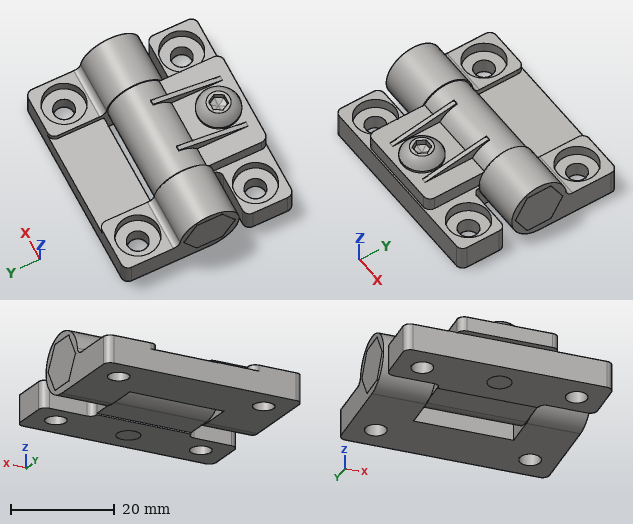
import cadquery as cq
import math

length = 42.95
width = 36.58
knuckle_diameter = 12.7
leaf_thickness = 5.8
corner_radius = 1.5

half_length = length / 2
half_width = width / 2
knuckle_radius = knuckle_diameter / 2
axis_z = knuckle_radius

knuckle_length = 11.15
bridge_edge_y = 6.85
bridge_drop = 1.25
bridge_thickness = leaf_thickness - bridge_drop

barrel_length = length - 2 * knuckle_length
barrel_radius = 6.05
barrel_bottom = axis_z - barrel_radius
notch_edge_y = -7.8
neck_fillet = 1.4
selection_margin = 0.45
arm_bottom = 6.55
arm_top = 9.7
hex_across_flats = 9.57
hex_across_corners = hex_across_flats / math.cos(math.pi / 6)

rib_width = 1.0
rib_x = 5.55
rib_back_y = -1.07
rib_front_y = -16.0
rib_top = 12.6

hole_x = 15.9
hole_y = 12.65
hole_diameter = 4.4
counterbore_diameter = 8.9
counterbore_depth = 2.35

screw_y = -hole_y
shank_diameter = 4.8
head_diameter = 8.97
head_flat_diameter = 4.8
head_rim_height = 0.47
head_height = 2.55
socket_across_corners = 3.78
socket_depth = 1.3
socket_tip_depth = 0.45


def box(x0, x1, y0, y1, z0, z1):
    """Axis-aligned block between two opposite corners."""
    return cq.Workplane("XY").box(x1 - x0, y1 - y0, z1 - z0, centered=False).translate((x0, y0, z0))


def mounting_hole_cutters(y):
    """Counterbored hole shapes for the two holes in one leaf."""
    centers = [(-hole_x, y), (hole_x, y)]
    holes = cq.Workplane("XY").pushPoints(centers).circle(hole_diameter / 2).extrude(leaf_thickness)
    counterbores = (
        cq.Workplane("XY", origin=(0, 0, leaf_thickness - counterbore_depth))
        .pushPoints(centers).circle(counterbore_diameter / 2).extrude(counterbore_depth)
    )
    return holes.union(counterbores)


def make_knuckle(x0):
    """One mounting pad with its knuckle and the fillet between them."""
    fillet_z = leaf_thickness + corner_radius
    reach = knuckle_radius + corner_radius
    fillet_y = math.sqrt(reach**2 - (fillet_z - axis_z) ** 2)
    ratio = knuckle_radius / reach
    tangent = (fillet_y * ratio, axis_z + (fillet_z - axis_z) * ratio)
    start_angle = math.atan2(axis_z - fillet_z, -fillet_y) % (2 * math.pi)
    middle_angle = (start_angle + 1.5 * math.pi) / 2
    middle = (
        fillet_y + corner_radius * math.cos(middle_angle),
        fillet_z + corner_radius * math.sin(middle_angle),
    )
    profile = (
        cq.Workplane("YZ", origin=(x0, 0, 0))
        .moveTo(0, 0)
        .lineTo(half_width, 0)
        .lineTo(half_width, leaf_thickness)
        .lineTo(fillet_y, leaf_thickness)
        .threePointArc(middle, tangent)
        .threePointArc((-knuckle_radius, axis_z), (0, 0))
        .close()
    )
    return profile.extrude(knuckle_length).edges("|Z and >Y").fillet(corner_radius)


def make_hex_bar():
    """Hexagonal bar along the full pivot axis, with two flats horizontal."""
    return (
        cq.Workplane("YZ", origin=(-half_length, 0, axis_z))
        .polygon(6, hex_across_corners).extrude(length)
    )


def make_fixed_leaf():
    """Two knuckles joined by a lower bridge, with hexagonal seats for the barrel ends."""
    bridge_end = barrel_length / 2
    bridge_half = bridge_end + corner_radius
    leaf = box(-bridge_end, bridge_end, bridge_edge_y, half_width, 0, bridge_thickness)
    bridge_back = box(-bridge_half, bridge_half, half_width - corner_radius, half_width, 0, bridge_thickness)
    leaf = leaf.union(bridge_back)
    for x0 in (-half_length, bridge_end):
        leaf = leaf.union(make_knuckle(x0))
    return leaf.cut(make_hex_bar()).cut(mounting_hole_cutters(hole_y))


def make_rib(x):
    """Tapered rib from the top of the barrel down to the arm."""
    return (
        cq.Workplane("YZ", origin=(x - rib_width / 2, 0, 0))
        .moveTo(rib_back_y, arm_bottom)
        .lineTo(rib_back_y, rib_top)
        .lineTo(rib_front_y, arm_top)
        .lineTo(rib_front_y, arm_bottom)
        .close().extrude(rib_width)
    )


def make_moving_leaf():
    """Plate and clamping arm on one barrel, whose hexagonal ends fill the knuckles."""
    half_barrel = barrel_length / 2
    plate = (
        box(-half_length, half_length, -half_width, notch_edge_y, 0, leaf_thickness)
        .edges("|Z").fillet(corner_radius)
    )
    neck = box(-half_barrel, half_barrel, notch_edge_y - corner_radius, -knuckle_radius, 0, leaf_thickness)
    plate = plate.union(neck)
    inner_corners = cq.selectors.BoxSelector(
        (-half_barrel - selection_margin, notch_edge_y - selection_margin, -selection_margin),
        (half_barrel + selection_margin, notch_edge_y + selection_margin, leaf_thickness + selection_margin),
    )
    plate = plate.edges("|Z").edges(inner_corners).fillet(neck_fillet)
    web = box(-half_barrel, half_barrel, -knuckle_radius, 0, barrel_bottom, leaf_thickness)
    arm = (
        box(-half_barrel, half_barrel, -half_width, 0, arm_bottom, arm_top)
        .edges("|Z and <Y").fillet(corner_radius)
    )
    barrel = (
        cq.Workplane("YZ", origin=(-half_barrel, 0, axis_z))
        .circle(barrel_radius).extrude(barrel_length)
    )
    leaf = plate.union(web).union(barrel).union(arm).union(make_hex_bar())
    for x in (-rib_x, rib_x):
        leaf = leaf.union(make_rib(x))
    screw_hole = cq.Workplane("XY").center(0, screw_y).circle(shank_diameter / 2).extrude(arm_top)
    return leaf.cut(mounting_hole_cutters(-hole_y)).cut(screw_hole)


def make_screw():
    """Button head screw with a hexagonal socket, passing through the arm and the plate."""
    rim_radius = head_diameter / 2
    flat_radius = head_flat_diameter / 2
    rim_z = arm_top + head_rim_height
    top_z = arm_top + head_height
    sphere_z = (rim_z + top_z) / 2 - (rim_radius**2 - flat_radius**2) / (2 * (top_z - rim_z))
    sphere_radius = math.hypot(rim_radius, rim_z - sphere_z)
    middle_z = (rim_z + top_z) / 2
    middle_radius = math.sqrt(sphere_radius**2 - (middle_z - sphere_z) ** 2)
    screw = (
        cq.Workplane("XZ")
        .moveTo(0, 0)
        .lineTo(shank_diameter / 2, 0)
        .lineTo(shank_diameter / 2, arm_top)
        .lineTo(rim_radius, arm_top)
        .lineTo(rim_radius, rim_z)
        .threePointArc((middle_radius, middle_z), (flat_radius, top_z))
        .lineTo(0, top_z)
        .close()
        .revolve(360, (0, 0), (0, 1))
    )
    socket_floor = top_z - socket_depth
    socket = (
        cq.Workplane("XY", origin=(0, 0, socket_floor))
        .polygon(6, socket_across_corners).extrude(socket_depth)
    )
    rim_corners = [
        cq.Vector(
            socket_across_corners / 2 * math.cos(i * math.pi / 3),
            socket_across_corners / 2 * math.sin(i * math.pi / 3),
            socket_floor,
        )
        for i in range(6)
    ]
    point = cq.Vector(0, 0, socket_floor - socket_tip_depth)
    faces = [cq.Face.makeFromWires(cq.Wire.makePolygon(rim_corners, close=True))]
    for i in range(6):
        sloped_side = [rim_corners[i - 1], rim_corners[i], point]
        faces.append(cq.Face.makeFromWires(cq.Wire.makePolygon(sloped_side, close=True)))
    tip = cq.Workplane(cq.Solid.makeSolid(cq.Shell.makeShell(faces)))
    return screw.cut(socket).cut(tip).translate((0, screw_y, 0))


fixed_leaf = make_fixed_leaf()
moving_leaf = make_moving_leaf()
screw = make_screw()
result = cq.Compound.makeCompound([fixed_leaf.val(), moving_leaf.val(), screw.val()])